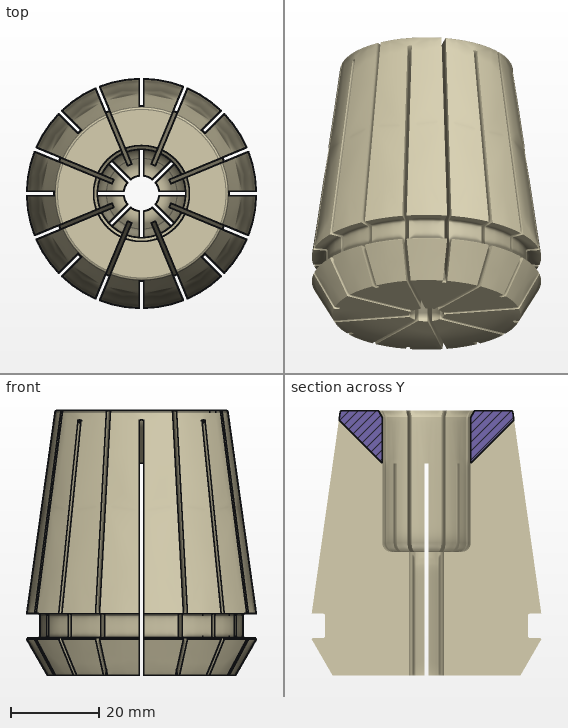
import cadquery as cq
import math

height = 60.0
max_radius = 26.0
overcut = 1.0

taper_angle = 8.0
taper_base_z = 14.0
top_radius = max_radius - (height - taper_base_z) * math.tan(math.radians(taper_angle))
top_edge_fillet = 0.5

groove_radius = 23.0
groove_base_z = 8.5
groove_fillet = 0.4
rim_chamfer = 0.3
rim_z = groove_base_z - rim_chamfer
nose_angle = 30.0
nose_radius = max_radius - rim_z * math.tan(math.radians(nose_angle))

bore_radius = 10.0
bore_floor_z = 28.0
bore_floor_fillet = 2.0
bore_chamfer_depth = 1.5
bore_chamfer_angle = 30.0
bore_mouth_radius = bore_radius + bore_chamfer_depth * math.tan(math.radians(bore_chamfer_angle))
hole_radius = 4.0

slots_per_set = 8
slot_width = 1.0
slot_pitch = 360.0 / slots_per_set
lower_slot_end_angle = 45.0
upper_slot_end_angle = 65.0
lower_slot_end_slope = math.tan(math.radians(lower_slot_end_angle))
upper_slot_end_slope = math.tan(math.radians(upper_slot_end_angle))
lower_slot_bore_z = 48.0
upper_slot_floor_radius = 7.0


def make_outer_body():
    """Revolved outside shape: nose cone, groove and long taper."""
    body = (
        cq.Workplane("XZ")
        .moveTo(0, 0)
        .lineTo(nose_radius, 0)
        .lineTo(max_radius, rim_z)
        .lineTo(max_radius - rim_chamfer, groove_base_z)
        .lineTo(groove_radius + groove_fillet, groove_base_z)
        .radiusArc((groove_radius, groove_base_z + groove_fillet), groove_fillet)
        .lineTo(groove_radius, taper_base_z - groove_fillet)
        .radiusArc((groove_radius + groove_fillet, taper_base_z), groove_fillet)
        .lineTo(max_radius, taper_base_z)
        .lineTo(top_radius, height)
        .lineTo(0, height)
        .close()
        .revolve(360, (0, 0, 0), (0, 1, 0))
    )
    body = body.faces(">Z").edges().fillet(top_edge_fillet)
    return body


def make_bore():
    """Bore with a chamfered mouth and rounded floor, and the small through hole."""
    mouth_z = height - bore_chamfer_depth
    return (
        cq.Workplane("XZ")
        .moveTo(0, -overcut)
        .lineTo(hole_radius, -overcut)
        .lineTo(hole_radius, bore_floor_z)
        .lineTo(bore_radius - bore_floor_fillet, bore_floor_z)
        .radiusArc((bore_radius, bore_floor_z + bore_floor_fillet), -bore_floor_fillet)
        .lineTo(bore_radius, mouth_z)
        .lineTo(bore_mouth_radius, height)
        .lineTo(bore_mouth_radius, height + overcut)
        .lineTo(0, height + overcut)
        .close()
        .revolve(360, (0, 0, 0), (0, 1, 0))
    )


def make_slot(axis_end_z, slope, open_z):
    """Radial slot along +X from the axis, between a slanted end face and open_z."""
    reach = max_radius + overcut
    return (
        cq.Workplane("XZ")
        .moveTo(0, open_z)
        .lineTo(0, axis_end_z)
        .lineTo(reach, axis_end_z + slope * reach)
        .lineTo(reach, open_z)
        .close()
        .extrude(slot_width / 2, both=True)
    )


def cut_slot_set(body, slot, start_angle):
    """Cut one evenly spaced ring of slots."""
    for index in range(slots_per_set):
        angle = start_angle + index * slot_pitch
        body = body.cut(slot.rotate((0, 0, 0), (0, 0, 1), angle))
    return body


lower_slot_axis_z = lower_slot_bore_z - lower_slot_end_slope * bore_radius
lower_slot = make_slot(lower_slot_axis_z, lower_slot_end_slope, -overcut)

upper_slot_axis_z = bore_floor_z + upper_slot_end_slope * upper_slot_floor_radius
upper_slot = make_slot(upper_slot_axis_z, -upper_slot_end_slope, height + overcut)

result = make_outer_body().cut(make_bore())
result = cut_slot_set(result, lower_slot, 0.0)
result = cut_slot_set(result, upper_slot, slot_pitch / 2)